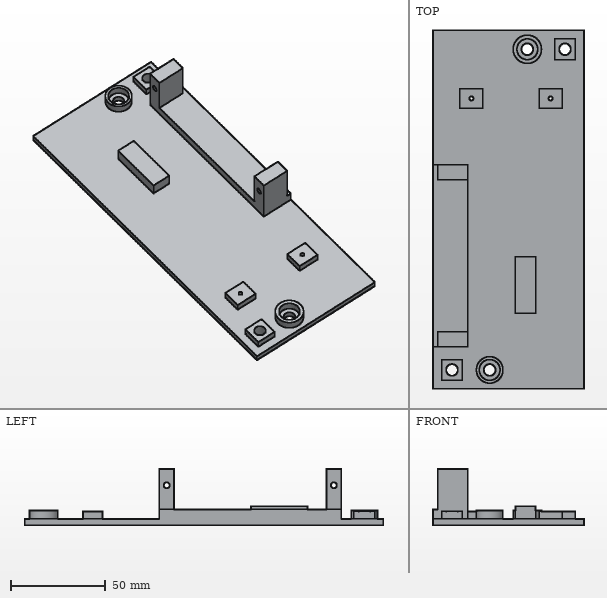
import cadquery as cq

plate_width = 80.0
plate_length = 190.0
plate_thickness = 3.5

bolt_diameter = 6.0
mount_edge_offset = 10.0
cup_edge_offset = 30.0
square_pad_side = 11.0
pad_top = 7.5
cup_top = 8.0
cup_bore = 11.0
back_cup_diameter = 15.0
front_cup_diameter = 14.0

drilled_pad_width = 12.2
drilled_pad_length = 10.5
drilled_pad_x = (20.3, 62.3)
drilled_pad_y = 153.9
drilled_pad_hole = 2.0

step_width = 18.5
step_start = 22.2
step_length = 96.5
step_top = 8.5
upright_setback = 2.5
upright_thickness = 8.0
bracket_top = 30.0
cross_hole_diameter = 3.0
cross_hole_z = 21.3

block_x = 43.7
block_y = 40.0
block_width = 10.6
block_length = 30.0
block_top = 10.3


def box_on_base(x, y, width, length, top):
    """Box from the underside of the plate up to top, with its low corner at x, y."""
    return cq.Workplane("XY").box(width, length, top, centered=False).translate((x, y, 0))


def pad(x, y, width, length, hole_diameter):
    """Pad centred at x, y, and the cutter for its through hole."""
    body = box_on_base(x - width / 2, y - length / 2, width, length, pad_top)
    return body, cylinder(x, y, hole_diameter, 0, pad_top)


def cylinder(x, y, diameter, bottom, top):
    """Vertical cylinder between two heights."""
    return cq.Workplane("XY", origin=(x, y, bottom)).circle(diameter / 2).extrude(top - bottom)


def cup(x, y, diameter):
    """Round cup, and the cutter for its bore down to the plate and its bolt hole."""
    bore = cylinder(x, y, cup_bore, plate_thickness, cup_top)
    bolt_hole = cylinder(x, y, bolt_diameter, 0, cup_top)
    return cylinder(x, y, diameter, 0, cup_top), bore.union(bolt_hole)


def bracket():
    """Step with two uprights, each cross-drilled along X."""
    body = box_on_base(0, step_start, step_width, step_length, step_top)
    upright_width = step_width - upright_setback
    for y in (step_start, step_start + step_length - upright_thickness):
        upright = box_on_base(upright_setback, y, upright_width, upright_thickness, bracket_top)
        hole_y = y + upright_thickness / 2
        hole = (
            cq.Workplane("YZ")
            .center(hole_y, cross_hole_z)
            .circle(cross_hole_diameter / 2)
            .extrude(step_width)
        )
        body = body.union(upright.cut(hole))
    return body


back_row_y = plate_length - mount_edge_offset
drilled_features = [
    pad(mount_edge_offset, mount_edge_offset, square_pad_side, square_pad_side, bolt_diameter),
    pad(plate_width - mount_edge_offset, back_row_y, square_pad_side, square_pad_side, bolt_diameter),
    cup(cup_edge_offset, mount_edge_offset, front_cup_diameter),
    cup(plate_width - cup_edge_offset, back_row_y, back_cup_diameter),
]
for pad_x in drilled_pad_x:
    drilled_features.append(
        pad(pad_x, drilled_pad_y, drilled_pad_width, drilled_pad_length, drilled_pad_hole)
    )

result = box_on_base(0, 0, plate_width, plate_length, plate_thickness)
result = result.union(bracket())
result = result.union(box_on_base(block_x, block_y, block_width, block_length, block_top))
for feature_body, feature_cutter in drilled_features:
    result = result.union(feature_body).cut(feature_cutter)